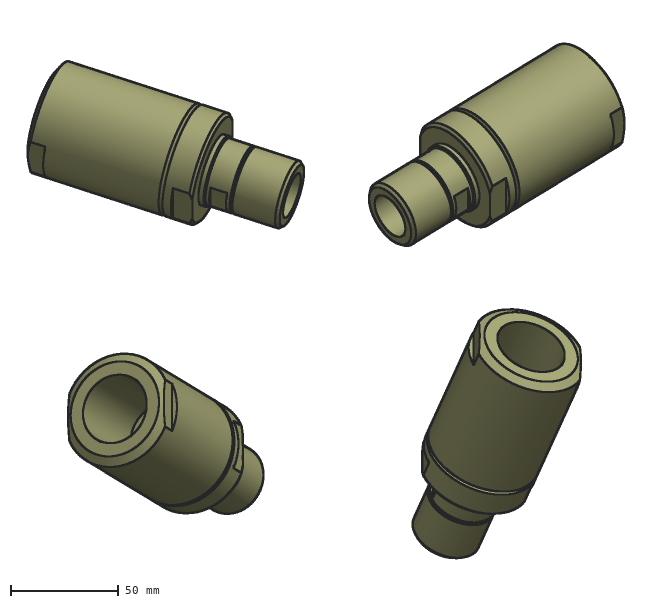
import cadquery as cq

total_length = 124.0
socket_chamfer_length = 2.5
groove_start = 68.0
groove_end = 69.9
body_end = 84.0
body_chamfer = 1.5
collar_end = 87.2
collar_chamfer = 0.6
neck_end = 99.3
relief_floor_width = 0.4
relief_taper_length = 1.0
tip_chamfer_length = 1.7

body_diameter = 55.0
socket_face_diameter = 46.1
groove_diameter = 49.8
collar_diameter = 35.0
stub_diameter = 33.2
relief_diameter = 32.2
tip_diameter = 30.3

socket_diameter = 33.2
socket_depth = 49.6
bore_mouth_diameter = 25.5
bore_step_diameter = 24.5
bore_diameter = 22.0
mouth_chamfer = (bore_mouth_diameter - bore_step_diameter) / 2
seat_depth = 2.5
seat_taper_length = (bore_step_diameter - bore_diameter) / 2

body_flat_width = 50.0
socket_flat_end = 9.8
body_flat_start = 74.2
stub_flat_start = 89.0
stub_flat_end = 97.5
stub_flat_width = 30.0


def revolve_about_x(points):
    """Solid of revolution about X from an outline of (x, diameter) points."""
    outline = [(x, diameter / 2) for x, diameter in points]
    return cq.Workplane("XY").polyline(outline).close().revolve(360, (0, 0), (1, 0))


def flat_cutters(start, end, across):
    """Two blocks that leave opposed flats on the -Y and +Y sides."""
    thickness = body_diameter / 2
    centre_y = (across + thickness) / 2
    return (
        cq.Workplane("XY")
        .pushPoints([((start + end) / 2, side * centre_y) for side in (-1, 1)])
        .box(end - start, thickness, body_diameter)
    )


outside = revolve_about_x([
    (0, 0),
    (0, socket_face_diameter),
    (socket_chamfer_length, body_diameter),
    (groove_start, body_diameter),
    (groove_end, groove_diameter),
    (groove_end, body_diameter),
    (body_end - body_chamfer, body_diameter),
    (body_end, body_diameter - 2 * body_chamfer),
    (body_end, collar_diameter),
    (collar_end - collar_chamfer, collar_diameter),
    (collar_end, collar_diameter - 2 * collar_chamfer),
    (collar_end, stub_diameter),
    (neck_end, stub_diameter),
    (neck_end, relief_diameter),
    (neck_end + relief_floor_width, relief_diameter),
    (neck_end + relief_floor_width + relief_taper_length, stub_diameter),
    (total_length - tip_chamfer_length, stub_diameter),
    (total_length, tip_diameter),
    (total_length, 0),
])

inside = revolve_about_x([
    (0, 0),
    (0, socket_diameter),
    (socket_depth, socket_diameter),
    (socket_depth, bore_mouth_diameter),
    (socket_depth + mouth_chamfer, bore_step_diameter),
    (socket_depth + seat_depth, bore_step_diameter),
    (socket_depth + seat_depth + seat_taper_length, bore_diameter),
    (total_length, bore_diameter),
    (total_length, 0),
])

result = (
    outside.cut(inside)
    .cut(flat_cutters(0, socket_flat_end, body_flat_width))
    .cut(flat_cutters(body_flat_start, body_end, body_flat_width))
    .cut(flat_cutters(stub_flat_start, stub_flat_end, stub_flat_width))
)